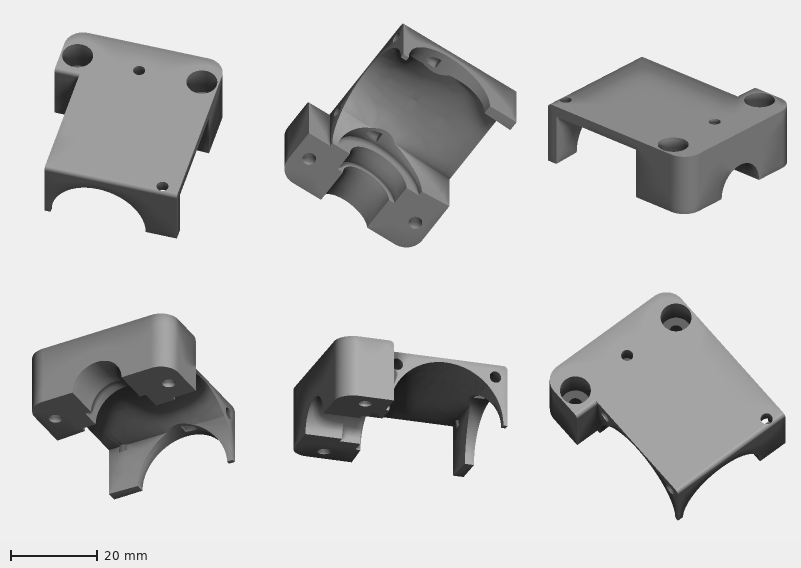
import cadquery as cq
import math

width = 38.0
length = 43.0
height = 15.0
half_width = width / 2
corner_radius = 4.5
edge_radius = 1.0

step_width = 6.0
ear_length = 13.1
duct_wall_x = step_width - half_width
ear_front_y = length - ear_length

duct_y = 15.0
duct_radius = 14.0
duct_square = 24.85

front_bore_radius = 11.5
front_bore_end_y = duct_y + duct_radius
seat_radius = 8.0
seat_depth = 5.0
rear_bore_radius = 6.5

mount_x = 15.0
mount_y = 35.5
mount_diameter = 3.2
counterbore_diameter = 7.2
counterbore_depth = height / 2

pin_diameter = 2.8
side_hole_offset = 12.05
side_hole_z = 11.95
side_hole_depth = 12.05
top_hole_depth = 4.3
rear_pin_y = 35.0
front_pin_y = 1.95


def make_block():
    """Stepped block with rounded rear corners."""
    block = cq.Workplane("XY").box(width, length, height, centered=(True, False, False))
    block = block.edges("|Z and >Y").fillet(corner_radius)
    step = cq.Workplane("XY").box(step_width, ear_front_y, height, centered=False)
    block = block.cut(step.translate((-half_width, 0, 0)))
    return block


def round_front_edges(block):
    """Round the top edges of the front face and of the ear's front face."""
    reach = half_width + 0.45
    tolerance = 0.05
    for y in (0, ear_front_y):
        edge = cq.selectors.BoxSelector(
            (-reach, y - tolerance, height - tolerance), (reach, y + tolerance, height + tolerance)
        )
        block = block.edges(edge).edges("|X").fillet(edge_radius)
    return block


def make_duct():
    """Round-to-square loft; the circle is split at 45 degrees to match the square's corners."""
    corner = duct_radius / math.sqrt(2)
    half_square = duct_square / 2
    return (
        cq.Workplane("YZ", origin=(duct_wall_x, duct_y, 0))
        .moveTo(-corner, -corner)
        .threePointArc((0, -duct_radius), (corner, -corner))
        .threePointArc((duct_radius, 0), (corner, corner))
        .threePointArc((0, duct_radius), (-corner, corner))
        .threePointArc((-duct_radius, 0), (-corner, -corner))
        .close()
        .workplane(offset=half_width - duct_wall_x)
        .moveTo(-half_square, -half_square)
        .lineTo(half_square, -half_square)
        .lineTo(half_square, half_square)
        .lineTo(-half_square, half_square)
        .close()
        .loft(ruled=True)
    )


def bore_along_y(radius, end_y):
    """Cylinder on the bore axis from the front face to end_y."""
    return cq.Workplane("XZ").circle(radius).extrude(-end_y)


def top_hole(x, y):
    """Blind pin hole drilled down from the top face."""
    return cq.Workplane("XY", origin=(x, y, height)).circle(pin_diameter / 2).extrude(-top_hole_depth)


result = round_front_edges(make_block())
result = result.cut(make_duct())
result = result.cut(bore_along_y(front_bore_radius, front_bore_end_y))
result = result.cut(bore_along_y(seat_radius, front_bore_end_y + seat_depth))
result = result.cut(bore_along_y(rear_bore_radius, length))

mount_holes = (
    cq.Workplane("XY", origin=(0, 0, height))
    .pushPoints([(-mount_x, mount_y), (mount_x, mount_y)])
)
result = result.cut(mount_holes.circle(mount_diameter / 2).extrude(-height))
result = result.cut(mount_holes.circle(counterbore_diameter / 2).extrude(-counterbore_depth))

result = result.cut(top_hole(0, rear_pin_y)).cut(top_hole(mount_x, front_pin_y))

result = result.cut(
    cq.Workplane("YZ", origin=(duct_wall_x, duct_y, side_hole_z))
    .pushPoints([(-side_hole_offset, 0), (side_hole_offset, 0)])
    .circle(pin_diameter / 2)
    .extrude(side_hole_depth)
)